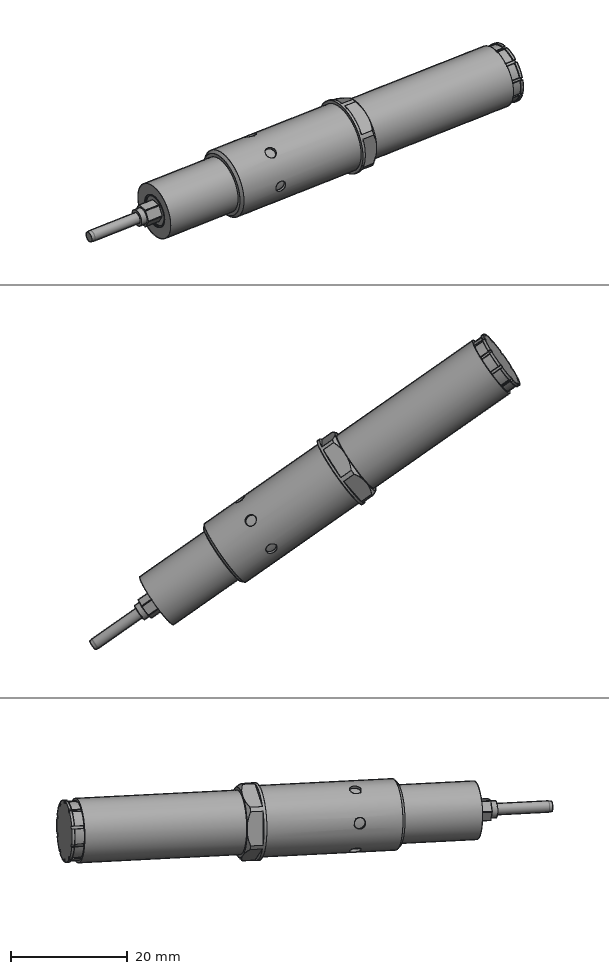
import cadquery as cq
import math


cap_length = 2.2
body_length = 28.6
hex_length = 2.8
flange_thickness = 0.5
sleeve_length = 24.7
barrel_length = 13.9
overall_length = 86.2

body_diameter = 11.1
flange_diameter = 13.4
sleeve_diameter = 12.3
barrel_diameter = 10.1

cap_rim_diameter = 10.7
cap_rim_thickness = 0.5
cap_neck_diameter = 10.3
cap_slot_count = 10
cap_slot_width = 0.5
cap_slot_depth = 0.25

hex_across_flats = 12.0
hex_chamfer_length = 0.6
hex_chamfer_width = 0.65

sleeve_chamfer = 0.5
dimple_count = 6
dimple_diameter = 2.0
dimple_depth = 0.5
dimple_from_flange = 16.6

recess_diameter = 6.0
recess_depth = 0.3
recess_floor_diameter = 5.5
recess_step_depth = 0.15

plunger_hex_across_flats = 3.5
plunger_hex_corner_diameter = 3.95
plunger_hex_length = 2.5
collar_diameter = 3.0
collar_length = 1.1
pin_diameter = 2.0
pin_tip_length = 0.6
pin_tip_diameter = 1.8

hex_start = flange_thickness
body_start = hex_start + hex_length
cap_start = body_start + body_length
cap_end = cap_start + cap_length
barrel_start = -sleeve_length
barrel_end = barrel_start - barrel_length
collar_start = barrel_end - plunger_hex_length
pin_start = collar_start - collar_length
pin_end = cap_end - overall_length


def plane_at(y):
    """Plane across the axis at the given Y, with its normal along +Y."""
    return cq.Workplane("XZ", origin=(0, y, 0)).transformed(rotate=(180, 0, 0))


def cylinder(diameter, y_from, y_to):
    low = min(y_from, y_to)
    return plane_at(low).circle(diameter / 2).extrude(abs(y_to - y_from))


def hexagon(across_flats, y_from, y_to, turn):
    """Hexagonal prism; a turn of 0 degrees puts corners on +X and -X."""
    across_corners = across_flats / math.cos(math.pi / 6)
    prism = plane_at(min(y_from, y_to)).polygon(6, across_corners).extrude(abs(y_to - y_from))
    return prism.rotate((0, 0, 0), (0, 1, 0), turn)


def make_cap():
    neck = cylinder(cap_neck_diameter, cap_start, cap_end)
    cap = neck.union(cylinder(cap_rim_diameter, cap_end - cap_rim_thickness, cap_end))
    slot_floor = cap_neck_diameter / 2 - cap_slot_depth
    slot_height = cap_rim_diameter / 2
    slot = cq.Workplane("XY").box(cap_slot_width, cap_length, slot_height, centered=(True, False, False))
    slot = slot.translate((0, cap_start, slot_floor))
    for i in range(cap_slot_count):
        cap = cap.cut(slot.rotate((0, 0, 0), (0, 1, 0), i * 360 / cap_slot_count))
    return cap


def make_hex_flange():
    """Hexagon with corners on +Z and -Z, rounded to the flange and chamfered toward the body."""
    radius = flange_diameter / 2
    envelope = (
        cq.Workplane("XY")
        .moveTo(0, hex_start)
        .lineTo(radius, hex_start)
        .lineTo(radius, body_start - hex_chamfer_length)
        .lineTo(radius - hex_chamfer_width, body_start)
        .lineTo(0, body_start)
        .close()
        .revolve(360, (0, 0, 0), (0, 1, 0))
    )
    nut = hexagon(hex_across_flats, hex_start, body_start, 90).intersect(envelope)
    return nut.union(cylinder(flange_diameter, 0, flange_thickness))


def make_sleeve():
    sleeve = cylinder(sleeve_diameter, 0, barrel_start).faces("<Y").chamfer(sleeve_chamfer)
    floor_radius = sleeve_diameter / 2 - dimple_depth
    drill = (
        cq.Workplane("YZ")
        .center(-dimple_from_flange, 0)
        .circle(dimple_diameter / 2)
        .extrude(sleeve_diameter)
    )
    drill = drill.cut(cylinder(2 * floor_radius, 0, barrel_start))
    for i in range(dimple_count):
        sleeve = sleeve.cut(drill.rotate((0, 0, 0), (0, 1, 0), i * 360 / dimple_count))
    return sleeve


def make_barrel():
    barrel = cylinder(barrel_diameter, barrel_start, barrel_end)
    recess_step = cylinder(recess_diameter, barrel_end, barrel_end + recess_step_depth)
    recess_floor = cylinder(recess_floor_diameter, barrel_end, barrel_end + recess_depth)
    return barrel.cut(recess_step).cut(recess_floor)


def make_plunger():
    """Hexagon with its corners turned down, a round collar and a slightly tapered pin tip."""
    hex_base = barrel_end + recess_depth
    plunger = hexagon(plunger_hex_across_flats, hex_base, collar_start, 0)
    plunger = plunger.intersect(cylinder(plunger_hex_corner_diameter, hex_base, collar_start))
    collar = cylinder(collar_diameter, collar_start, pin_start)
    pin_setback = (pin_diameter - pin_tip_diameter) / 2
    pin = cylinder(pin_diameter, pin_start, pin_end).faces("<Y").chamfer(pin_tip_length, pin_setback)
    return plunger.union(collar).union(pin)


body = cylinder(body_diameter, body_start, cap_start)

result = make_sleeve().union(make_hex_flange()).union(body).union(make_cap())
result = result.union(make_barrel()).union(make_plunger())